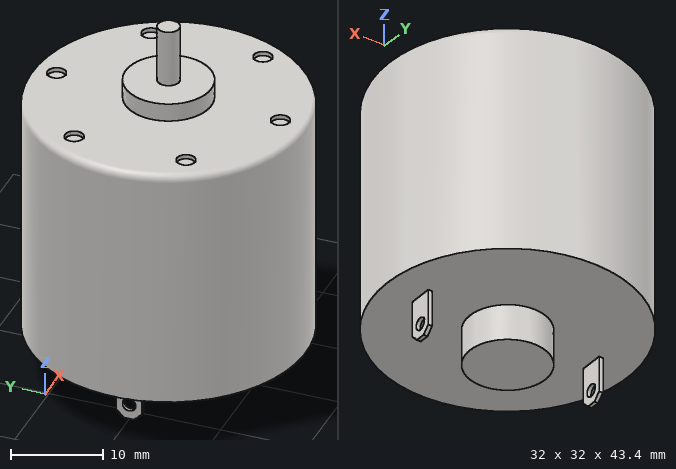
import cadquery as cq

can_diameter = 32.0
can_length = 29.05
can_edge_radius = 1.0

boss_diameter = 10.0
front_boss_height = 2.15
rear_boss_height = 4.5

shaft_diameter = 2.5
shaft_length = 6.8

mount_hole_count = 6
mount_hole_diameter = 2.13
mount_hole_depth = 0.5
mount_circle_radius = 13.0

terminal_length = 5.4
terminal_width = 3.0
terminal_thickness = 0.5
terminal_chamfer = 0.85
terminal_offset = 11.33
terminal_hole_diameter = 1.5
terminal_hole_drop = 3.6


def make_can():
    """Cylindrical can with a rounded front edge."""
    can = cq.Workplane("XY").circle(can_diameter / 2).extrude(can_length)
    return can.faces(">Z").edges().fillet(can_edge_radius)


def add_bosses_and_shaft(body):
    """Stack the front boss and shaft on the can, and the rear boss below it."""
    front_boss = (
        cq.Workplane("XY", origin=(0, 0, can_length))
        .circle(boss_diameter / 2)
        .extrude(front_boss_height)
    )
    shaft = (
        cq.Workplane("XY", origin=(0, 0, can_length + front_boss_height))
        .circle(shaft_diameter / 2)
        .extrude(shaft_length)
    )
    rear_boss = cq.Workplane("XY").circle(boss_diameter / 2).extrude(-rear_boss_height)
    return body.union(front_boss).union(shaft).union(rear_boss)


def cut_mount_holes(body):
    """Ring of shallow holes, with one on the +Y axis."""
    holes = (
        cq.Workplane("XY", origin=(0, 0, can_length))
        .polarArray(mount_circle_radius, 90, 360, mount_hole_count)
        .circle(mount_hole_diameter / 2)
        .extrude(-mount_hole_depth)
    )
    return body.cut(holes)


def make_terminal(center_x):
    """Flat tab hanging from the rear face, with a chamfered tip and a hole."""
    tab = (
        cq.Workplane("XY")
        .box(terminal_thickness, terminal_width, terminal_length)
        .translate((center_x, 0, -terminal_length / 2))
        .faces("<Z")
        .edges("|X")
        .chamfer(terminal_chamfer)
    )
    hole = (
        cq.Workplane("YZ", origin=(center_x, 0, -terminal_hole_drop))
        .circle(terminal_hole_diameter / 2)
        .extrude(terminal_thickness, both=True)
    )
    return tab.cut(hole)


motor = cut_mount_holes(add_bosses_and_shaft(make_can()))
for side in (-1, 1):
    motor = motor.union(make_terminal(side * terminal_offset))

result = motor